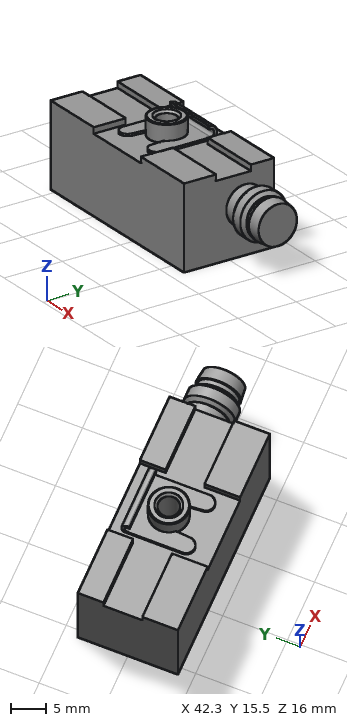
import cadquery as cq
import math

body_length = 34.0
body_width = 15.5
body_height = 14.0
groove_depth = 1.0
floor_z = body_height - groove_depth
long_groove_width = 6.0
cross_groove_width = 12.0
center_x = body_length / 2
center_y = 8.5

sleeve_diameter = 6.0
sleeve_top = 16.0
sleeve_rim_chamfer = 0.13
bore_diameter = 3.25
bore_mouth_diameter = 4.1
bore_chamfer = (bore_mouth_diameter - bore_diameter) / 2

clip_width = 10.0
clip_thickness = 0.4
clip_front_y = 2.95
leg_tip_width = 2.62
leg_root_width = 2.95
leg_tip_radius = leg_tip_width / 2
lip_back_y = 13.75
lip_top = 15.15
lip_thickness = 0.5
lip_inner_radius = 0.5
lip_outer_radius = lip_inner_radius + lip_thickness
lip_tip_length = 0.25

connector_y = 10.55
connector_z = 7.9
connector_end = 42.3
neck_diameter = 6.5
collar_diameter = 8.0
collar_start = 36.2
collar_end = 39.3
collar_chamfer = 0.65
ring_start = 40.2
ring_diameter = 7.05
ring_end_diameter = 6.6


def box(x, y, z, length, width, height):
    """Box placed by its lowest corner."""
    return cq.Workplane("XY").box(length, width, height, centered=False).translate((x, y, z))


def make_body():
    block = box(0, 0, 0, body_length, body_width, body_height)
    long_groove = box(
        0, center_y - long_groove_width / 2, floor_z, body_length, long_groove_width, groove_depth
    )
    cross_groove = box(
        center_x - cross_groove_width / 2, 0, floor_z, cross_groove_width, body_width, groove_depth
    )
    return block.cut(long_groove).cut(cross_groove)


def make_sleeve():
    return (
        cq.Workplane("XY", origin=(center_x, center_y, floor_z))
        .circle(sleeve_diameter / 2)
        .extrude(sleeve_top - floor_z)
        .faces(">Z")
        .chamfer(sleeve_rim_chamfer)
    )


def make_bore():
    bore = cq.Workplane("XY", origin=(center_x, center_y, 0)).circle(bore_diameter / 2).extrude(sleeve_top)
    mouth = cq.Solid.makeCone(
        bore_diameter / 2,
        bore_mouth_diameter / 2,
        bore_chamfer,
        pnt=cq.Vector(center_x, center_y, sleeve_top - bore_chamfer),
    )
    return bore.union(cq.Workplane(mouth))


def make_clip_plate(back_y):
    """Flat plate whose slightly tapered legs straddle the sleeve and end in round tips."""
    half_width = clip_width / 2
    tip_x = half_width - leg_tip_width
    root_x = half_width - leg_root_width
    tip_y = clip_front_y + leg_tip_radius - center_y
    tip_center_x = half_width - leg_tip_radius
    front_y = clip_front_y - center_y
    return (
        cq.Workplane("XY", origin=(center_x, center_y, floor_z))
        .moveTo(-half_width, back_y - center_y)
        .lineTo(-half_width, tip_y)
        .threePointArc((-tip_center_x, front_y), (-tip_x, tip_y))
        .lineTo(-root_x, 0)
        .lineTo(root_x, 0)
        .lineTo(tip_x, tip_y)
        .threePointArc((tip_center_x, front_y), (half_width, tip_y))
        .lineTo(half_width, back_y - center_y)
        .close()
        .extrude(clip_thickness)
    )


def make_clip():
    """Plate bent up at its back edge and curled forward over itself."""
    bend_y = lip_back_y - lip_outer_radius
    inner_y = lip_back_y - lip_thickness
    tip_y = bend_y - lip_tip_length
    plate_top = floor_z + clip_thickness
    lower_z = plate_top + lip_inner_radius
    upper_z = lip_top - lip_outer_radius
    inner_reach = lip_inner_radius * math.sqrt(0.5)
    outer_reach = lip_outer_radius * math.sqrt(0.5)
    lip = (
        cq.Workplane("YZ", origin=(center_x, 0, 0))
        .moveTo(bend_y, lower_z - lip_outer_radius)
        .threePointArc((bend_y + outer_reach, lower_z - outer_reach), (lip_back_y, lower_z))
        .lineTo(lip_back_y, upper_z)
        .threePointArc((bend_y + outer_reach, upper_z + outer_reach), (bend_y, lip_top))
        .lineTo(tip_y, lip_top)
        .lineTo(tip_y, lip_top - lip_thickness)
        .lineTo(bend_y, lip_top - lip_thickness)
        .threePointArc((bend_y + inner_reach, upper_z + inner_reach), (inner_y, upper_z))
        .lineTo(inner_y, lower_z)
        .threePointArc((bend_y + inner_reach, lower_z - inner_reach), (bend_y, plate_top))
        .close()
        .extrude(clip_width / 2, both=True)
    )
    return make_clip_plate(bend_y).union(lip)


def make_connector():
    neck_radius = neck_diameter / 2
    collar_radius = collar_diameter / 2
    collar_edge_radius = collar_radius - collar_chamfer
    profile = [
        (body_length, 0),
        (body_length, neck_radius),
        (collar_start, neck_radius),
        (collar_start, collar_edge_radius),
        (collar_start + collar_chamfer, collar_radius),
        (collar_end - collar_chamfer, collar_radius),
        (collar_end, collar_edge_radius),
        (collar_end, neck_radius),
        (ring_start, neck_radius),
        (ring_start, ring_diameter / 2),
        (connector_end, ring_end_diameter / 2),
        (connector_end, 0),
    ]
    return (
        cq.Workplane("XY")
        .polyline(profile)
        .close()
        .revolve(360, (0, 0, 0), (1, 0, 0))
        .translate((0, connector_y, connector_z))
    )


result = make_body().union(make_clip()).union(make_sleeve()).union(make_connector()).cut(make_bore())